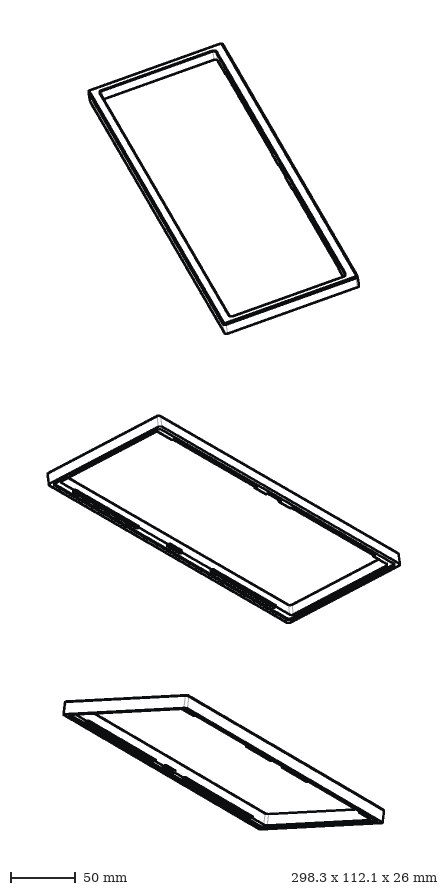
import cadquery as cq
import math

length = 298.3
depth = 112.1
total_height = 26.0
tilt = 8.0

corner_radius = 2.0
top_chamfer = 1.0
opening_chamfer = 0.5

cos_t = math.cos(math.radians(tilt))
sin_t = math.sin(math.radians(tilt))
rimmed_depth = depth + top_chamfer * sin_t
rimmed_height = total_height + top_chamfer * sin_t
denominator = cos_t**2 - sin_t**2
frame_depth = (rimmed_depth * cos_t - rimmed_height * sin_t) / denominator
wall_height = (rimmed_height * cos_t - rimmed_depth * sin_t) / denominator

side_wall = 6.0
front_wall = 7.8
back_wall = 8.0
opening_length = length - 2 * side_wall
opening_depth = frame_depth - front_wall - back_wall
opening_y = (front_wall - back_wall) / 2

step_height = 1.2
outer_wall = 3.0

relief_rise = 1.2
relief_depth = 2.0
relief_end = 124.5
front_relief_start = 45.5
back_relief_start = 22.0
centre_rise = 1.8
centre_top_width = 14.3
centre_bottom_width = 16.0


def rounded_block(size_x, size_y, height):
    """Block standing on the XY plane with rounded upright corners."""
    block = cq.Workplane("XY").box(size_x, size_y, height, centered=(True, True, False))
    return block.edges("|Z").fillet(corner_radius)


def into_lip(outline, side):
    """Extrude an XZ outline from the opening into the front (-1) or back (+1) lip."""
    relief_middle = opening_y + side * (opening_depth + relief_depth) / 2
    return outline.extrude(relief_depth / 2, both=True).translate((0, relief_middle, 0))


def long_relief(x_start, x_end, side):
    outline = cq.Workplane("XZ").moveTo(x_start, 0).lineTo(x_end, 0)
    outline = outline.lineTo(x_end, step_height + relief_rise)
    outline = outline.lineTo(x_start, step_height + relief_rise).close()
    return into_lip(outline, side)


def centre_relief(side):
    """Relief with sloped ends, in the middle of the wall."""
    outline = cq.Workplane("XZ").moveTo(-centre_bottom_width / 2, step_height)
    outline = outline.lineTo(-centre_top_width / 2, step_height + centre_rise)
    outline = outline.lineTo(centre_top_width / 2, step_height + centre_rise)
    outline = outline.lineTo(centre_bottom_width / 2, step_height).close()
    return into_lip(outline, side)


frame = rounded_block(length, frame_depth, wall_height)
frame = frame.faces(">Z").edges().chamfer(top_chamfer)
opening = rounded_block(opening_length, opening_depth, wall_height)
frame = frame.cut(opening.translate((0, opening_y, 0)))
frame = frame.faces(">Z").wires(cq.selectors.LengthNthSelector(0)).chamfer(opening_chamfer)

step = rounded_block(length - 2 * outer_wall, frame_depth - 2 * outer_wall, step_height)
frame = frame.cut(step)

for side, start in ((-1, front_relief_start), (1, back_relief_start)):
    frame = frame.cut(centre_relief(side))
    frame = frame.cut(long_relief(start, relief_end, side))
    frame = frame.cut(long_relief(-relief_end, -start, side))

result = frame.rotate((0, 0, 0), (1, 0, 0), tilt)